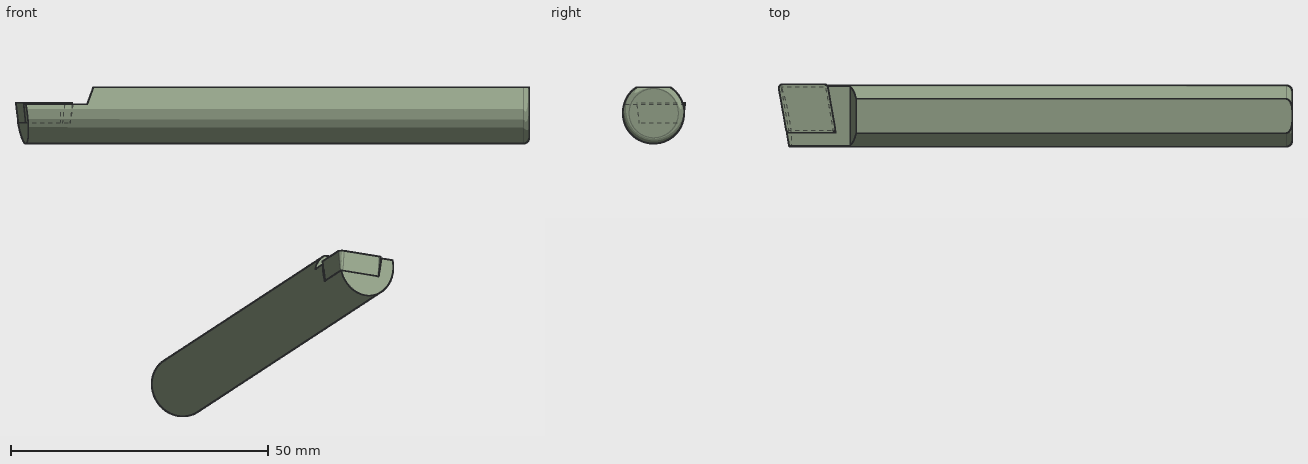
import cadquery as cq
import math

total_length = 99.85
shank_radius = 6
flat_height = 5
end_fillet = 1.2

seat_height = 1.7
seat_length = 13.9
seat_wall_lean = 20

insert_width = 9.5
insert_angle = 80
insert_thickness = 3.9
insert_top = 2
insert_edge_y = 6.2
corner_radius = 0.8
flank_relief = 7

skew = math.radians(90 - insert_angle)
relief = math.radians(flank_relief)
insert_side = insert_width / math.cos(skew)
sharp_corner_x = -corner_radius * (math.tan(skew) + 1 / math.cos(skew) - 1)
acute_tangent = corner_radius / math.tan(math.radians(insert_angle / 2))
cut_size = 4 * shank_radius
cut_margin = 1


def rhombic_outline():
    """Sharp-cornered rhombus with its leading acute corner at the origin."""
    slant_run = insert_width * math.tan(skew)
    return cq.Sketch().polygon([
        (0, 0),
        (insert_side, 0),
        (insert_side + slant_run, -insert_width),
        (slant_run, -insert_width),
        (0, 0),
    ])


def relieved_plate(outline):
    """Plate at the insert position whose flanks lean inward toward the bottom."""
    return (
        cq.Workplane(origin=(sharp_corner_x, insert_edge_y, insert_top))
        .placeSketch(outline)
        .extrude(-insert_thickness, taper=flank_relief)
    )


def make_insert():
    """Relieved rhombic plate with rounded corners."""
    return relieved_plate(rhombic_outline().vertices().fillet(corner_radius))


def insert_pocket():
    """Sharp-cornered pocket that holds the insert against its flanks."""
    return relieved_plate(rhombic_outline())


def make_bar():
    """Round bar with a rounded rear rim and the full-length top flat."""
    bar = cq.Workplane("YZ").circle(shank_radius).extrude(total_length)
    bar = bar.faces(">X").fillet(end_fillet)
    above_flat = (
        cq.Workplane(origin=(0, 0, flat_height))
        .rect(2 * total_length + cut_size, cut_size)
        .extrude(cut_size)
    )
    return bar.cut(above_flat)


def seat_cut():
    """Material above the seat, bounded by a leaning rear wall."""
    cut_height = flat_height - seat_height + cut_margin
    wall_run = cut_height * math.tan(math.radians(seat_wall_lean))
    return (
        cq.Workplane("XZ")
        .moveTo(-cut_margin, seat_height)
        .lineTo(seat_length, seat_height)
        .lineTo(seat_length + wall_run, seat_height + cut_height)
        .lineTo(-cut_margin, seat_height + cut_height)
        .close()
        .extrude(cut_size / 2, both=True)
    )


def nose_cut():
    """Material ahead of the nose plane, which continues the front flank of the insert."""
    nose_plane = cq.Plane(
        origin=(sharp_corner_x, insert_edge_y, insert_top),
        xDir=(math.sin(skew), -math.cos(skew), 0),
        normal=(-math.cos(skew) * math.cos(relief), -math.sin(skew) * math.cos(relief), -math.sin(relief)),
    )
    return cq.Workplane(nose_plane).rect(2 * cut_size, 2 * cut_size).extrude(cut_size)


def pocket_side_opening():
    """Clears the thin wall beside the insert so that its side edge stands free."""
    opening_length = sharp_corner_x + insert_side - corner_radius
    return cq.Workplane(
        origin=(0, insert_edge_y - acute_tangent, insert_top - insert_thickness)
    ).box(opening_length, cut_size, insert_thickness, centered=False)


insert = make_insert()
shank = make_bar().cut(seat_cut()).cut(nose_cut()).cut(insert_pocket()).cut(pocket_side_opening())

result = cq.Compound.makeCompound([shank.val(), insert.val()])